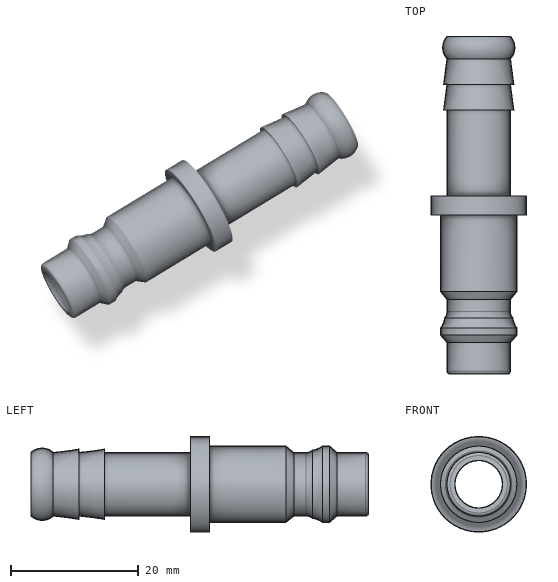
import cadquery as cq

LENGTH = 53.0
BORE_RADIUS = 3.7
TUBE_RADIUS = 5.0
BODY_RADIUS = 6.0
FLANGE_DIAMETER = 15.0

TIP_ROUNDING = 0.5
COLLAR_CONE_START = 5.0
COLLAR_START = 6.1
COLLAR_END = 7.2
SHOULDER_WAIST = 8.8
SHOULDER_END = 9.8
WAIST_RADIUS = 5.35
FLARE_SAGITTA = 0.1
ROOT_SAGITTA = 0.1
BODY_CONE_START = 11.7
BODY_START = 13.0
FLANGE_START = 24.95
FLANGE_THICKNESS = 3.0

BARB_COUNT = 2
BARB_LENGTH = 4.05
BARB_RADIUS = 5.5
BEAD_LENGTH = 3.5
BEAD_RADIUS = 5.65


def add_plug_end(outline):
    """Rounded tip, locking collar with a curved rear shoulder, and the neck."""
    return (
        outline.lineTo(TUBE_RADIUS - TIP_ROUNDING, 0)
        .radiusArc((TUBE_RADIUS, TIP_ROUNDING), -TIP_ROUNDING)
        .lineTo(TUBE_RADIUS, COLLAR_CONE_START)
        .lineTo(BODY_RADIUS, COLLAR_START)
        .lineTo(BODY_RADIUS, COLLAR_END)
        .sagittaArc((WAIST_RADIUS, SHOULDER_WAIST), FLARE_SAGITTA)
        .sagittaArc((TUBE_RADIUS, SHOULDER_END), ROOT_SAGITTA)
        .lineTo(TUBE_RADIUS, BODY_CONE_START)
    )


def add_body_and_flange(outline):
    """Cylindrical body with a conical front, then the stop flange."""
    flange_radius = FLANGE_DIAMETER / 2
    flange_end = FLANGE_START + FLANGE_THICKNESS
    return (
        outline.lineTo(BODY_RADIUS, BODY_START)
        .lineTo(BODY_RADIUS, FLANGE_START)
        .lineTo(flange_radius, FLANGE_START)
        .lineTo(flange_radius, flange_end)
        .lineTo(TUBE_RADIUS, flange_end)
    )


def add_hose_end(outline):
    """Tapered barbs followed by the rounded end bead."""
    bead_start = LENGTH - BEAD_LENGTH
    first_barb = bead_start - BARB_COUNT * BARB_LENGTH
    outline = outline.lineTo(TUBE_RADIUS, first_barb)
    for index in range(BARB_COUNT):
        barb_start = first_barb + index * BARB_LENGTH
        outline = (
            outline.lineTo(BARB_RADIUS, barb_start)
            .lineTo(TUBE_RADIUS, barb_start + BARB_LENGTH)
        )
    bead_middle = LENGTH - BEAD_LENGTH / 2
    return outline.threePointArc((BEAD_RADIUS, bead_middle), (TUBE_RADIUS, LENGTH))


outline = cq.Workplane("XY").moveTo(BORE_RADIUS, 0)
outline = add_plug_end(outline)
outline = add_body_and_flange(outline)
outline = add_hose_end(outline)
profile = outline.lineTo(BORE_RADIUS, LENGTH).close()

result = profile.revolve(360, (0, 0, 0), (0, 1, 0)).translate((0, -LENGTH / 2, 0))